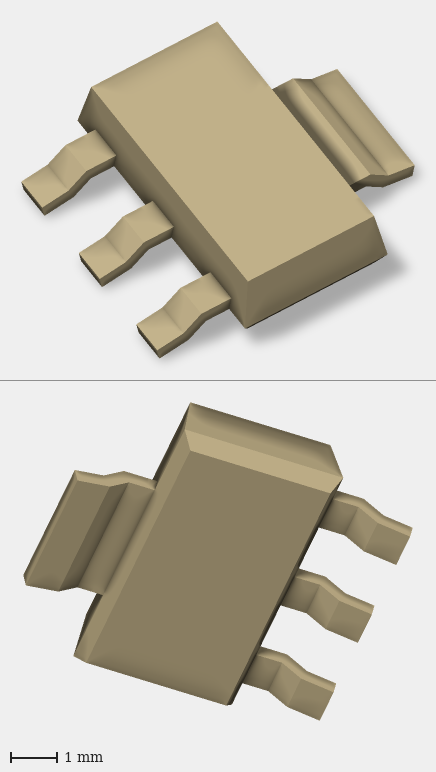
import cadquery as cq
import math

body_length = 6.7
body_width = 3.695
waist_inset = 0.215
body_bottom = 0.1
waist_height = 0.49
body_top = 1.8

overall_width = 7.42
metal_thickness = 0.35
foot_angle = math.radians(10)
top_bend_y = 2.57
bottom_bend_y = 2.45
top_knee_y = 3.035
bottom_knee_y = 2.895
embed_depth = 0.37

lead_width = 0.84
lead_pitch = 2.3
tab_width = 3.1


def tapered_half(start_height, end_height):
    """Frustum between the waist outline and an outline inset all round."""
    return (
        cq.Workplane("XY", origin=(0, 0, start_height))
        .rect(body_length, body_width)
        .workplane(offset=end_height - start_height)
        .rect(body_length - 2 * waist_inset, body_width - 2 * waist_inset)
        .loft(ruled=True, combine=True)
    )


def bent_strip(width, center_x, side):
    """Bent metal strip leaving the body towards side * Y, foot touching Z = 0."""
    root_y = body_width / 2 - embed_depth
    tip_y = overall_width / 2
    tip_height = metal_thickness * math.cos(foot_angle)
    heel_y = tip_y - metal_thickness * math.sin(foot_angle)
    slope = math.tan(foot_angle)
    profile = [
        (root_y, waist_height),
        (bottom_bend_y, waist_height),
        (bottom_knee_y, (heel_y - bottom_knee_y) * slope),
        (heel_y, 0),
        (tip_y, tip_height),
        (top_knee_y, tip_height + (tip_y - top_knee_y) * slope),
        (top_bend_y, waist_height + metal_thickness),
        (root_y, waist_height + metal_thickness),
    ]
    return (
        cq.Workplane("YZ", origin=(center_x, 0, 0))
        .polyline([(side * y, z) for y, z in profile])
        .close()
        .extrude(width / 2, both=True)
    )


result = tapered_half(waist_height, body_top).union(tapered_half(waist_height, body_bottom))

for position in (-1, 0, 1):
    result = result.union(bent_strip(lead_width, position * lead_pitch, -1))

result = result.union(bent_strip(tab_width, 0, 1))